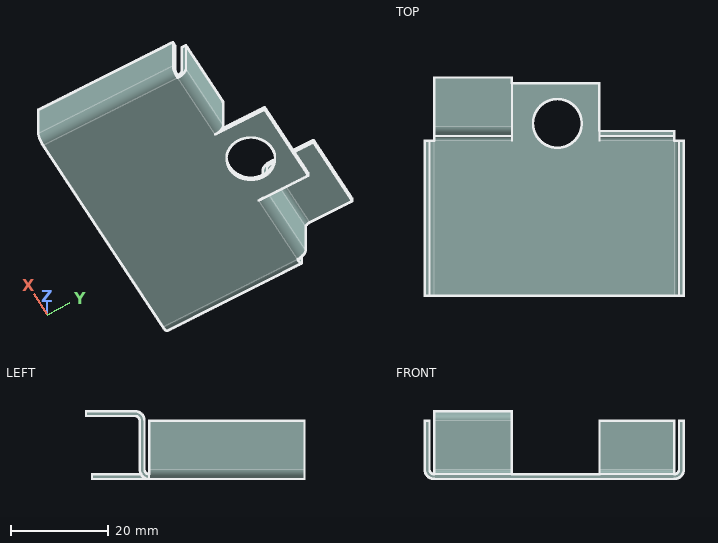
import cadquery as cq

thickness = 1.0
inner_radius = 0.95
outer_radius = inner_radius + thickness

overall_width = 53.4
floor_depth = 32.0
wall_height = 12.0
floor_half_width = overall_width / 2 - outer_radius

hook_width = 16.0
hook_height = 14.0
hook_tip_y = 45.05
lug_width = 18.0
lug_tip_y = 43.8
hole_diameter = 10.0
hole_x = 0.65
hole_y = 35.5

lug_left = -floor_half_width + hook_width
lug_right = lug_left + lug_width


def bend_midpoints():
    """Midpoints of the inner and outer arcs of a bend that leaves the floor at the sketch origin."""
    diagonal = 0.5 ** 0.5
    inner_mid = (inner_radius * diagonal, outer_radius - inner_radius * diagonal)
    outer_mid = (outer_radius * diagonal, outer_radius * (1 - diagonal))
    return inner_mid, outer_mid


def upturned_wall(plane, wall_length):
    """Bend and upright wall; sketch X points away from the floor and sketch Y points up."""
    inner_mid, outer_mid = bend_midpoints()
    return (
        cq.Workplane(plane)
        .moveTo(0, 0)
        .threePointArc(outer_mid, (outer_radius, outer_radius))
        .lineTo(outer_radius, wall_height)
        .lineTo(inner_radius, wall_height)
        .lineTo(inner_radius, outer_radius)
        .threePointArc(inner_mid, (0, thickness))
        .close()
        .extrude(wall_length)
    )


def hook():
    """Upright tab whose top bends back outwards into a horizontal lip."""
    inner_mid, outer_mid = bend_midpoints()
    reach = hook_tip_y - floor_depth
    top_axis_x = inner_radius + outer_radius
    top_axis_z = hook_height - outer_radius
    top_inner_mid = (top_axis_x - inner_mid[0], top_axis_z + outer_radius - inner_mid[1])
    top_outer_mid = (top_axis_x - outer_mid[0], top_axis_z + outer_radius - outer_mid[1])
    plane = cq.Plane(origin=(-floor_half_width, floor_depth, 0), xDir=(0, 1, 0), normal=(1, 0, 0))
    return (
        cq.Workplane(plane)
        .moveTo(0, 0)
        .threePointArc(outer_mid, (outer_radius, outer_radius))
        .lineTo(outer_radius, top_axis_z)
        .threePointArc(top_inner_mid, (top_axis_x, hook_height - thickness))
        .lineTo(reach, hook_height - thickness)
        .lineTo(reach, hook_height)
        .lineTo(top_axis_x, hook_height)
        .threePointArc(top_outer_mid, (inner_radius, top_axis_z))
        .lineTo(inner_radius, outer_radius)
        .threePointArc(inner_mid, (0, thickness))
        .close()
        .extrude(hook_width)
    )


def floor_with_lug():
    """Flat floor with the pierced lug continuing past its back edge."""
    plate = (
        cq.Workplane("XY")
        .moveTo(-floor_half_width, 0)
        .lineTo(floor_half_width, 0)
        .lineTo(floor_half_width, floor_depth)
        .lineTo(lug_right, floor_depth)
        .lineTo(lug_right, lug_tip_y)
        .lineTo(lug_left, lug_tip_y)
        .lineTo(lug_left, floor_depth)
        .lineTo(-floor_half_width, floor_depth)
        .close()
        .extrude(thickness)
    )
    hole = cq.Workplane("XY").center(hole_x, hole_y).circle(hole_diameter / 2).extrude(thickness)
    return plate.cut(hole)


right_plane = cq.Plane(origin=(floor_half_width, floor_depth, 0), xDir=(1, 0, 0), normal=(0, -1, 0))
left_plane = cq.Plane(origin=(-floor_half_width, 0, 0), xDir=(-1, 0, 0), normal=(0, 1, 0))
back_plane = cq.Plane(origin=(lug_right, floor_depth, 0), xDir=(0, 1, 0), normal=(1, 0, 0))

result = (
    floor_with_lug()
    .union(upturned_wall(left_plane, floor_depth))
    .union(upturned_wall(right_plane, floor_depth))
    .union(upturned_wall(back_plane, floor_half_width - lug_right))
    .union(hook())
)